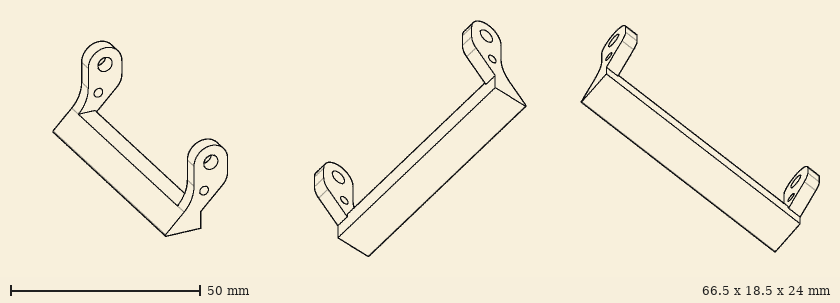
import cadquery as cq
import math

length = 66.5
depth = 18.5
height = 24.0

arm_thickness = 4.0
lobe_radius = 5.0
heel_radius = 5.0
throat_radius = 10.0
pivot_hole_diameter = 4.1
pin_hole_diameter = 2.5
pin_offset_y = -2.0
pin_offset_z = -8.0

bar_back_y = -3.0
arm_root_height = 5.0
nose_radius = 0.3

pivot_z = height - lobe_radius
front_y = lobe_radius - depth

half_turn = math.radians(22.5)
diagonal = math.sqrt(0.5)
back_corner_z = arm_root_height + lobe_radius - bar_back_y
sharp_front_y = front_y - nose_radius * (1 / math.tan(half_turn) - 1)
front_corner_z = -lobe_radius - sharp_front_y
heel_tangent = heel_radius * math.tan(half_turn)
throat_tangent = throat_radius * math.tan(half_turn)

nose_center_y = front_y + nose_radius
nose_top = (nose_center_y - nose_radius * diagonal, nose_radius * (1 + diagonal))
nose_tip = (front_y, nose_radius)
nose_bottom = (nose_center_y, 0)


def bend_points(corner_y, corner_z, tangent, radius):
    """Return top, middle and bottom of an arc easing a vertical face into a slope."""
    top = (corner_y, corner_z + tangent)
    middle = (
        corner_y - radius * (1 - math.cos(half_turn)),
        corner_z + tangent - radius * math.sin(half_turn),
    )
    bottom = (corner_y - tangent * diagonal, corner_z - tangent * diagonal)
    return top, middle, bottom


heel_top, heel_middle, heel_bottom = bend_points(
    lobe_radius, back_corner_z, heel_tangent, heel_radius
)
throat_top, throat_middle, throat_bottom = bend_points(
    -lobe_radius, front_corner_z, throat_tangent, throat_radius
)

bar_front_y, bar_height = throat_bottom


def make_arm(start_x):
    arm = (
        cq.Workplane("YZ", origin=(start_x, 0, 0))
        .moveTo(bar_back_y, 0)
        .lineTo(bar_back_y, arm_root_height)
        .lineTo(*heel_bottom)
        .threePointArc(heel_middle, heel_top)
        .lineTo(lobe_radius, pivot_z)
        .threePointArc((0, height), (-lobe_radius, pivot_z))
        .lineTo(*throat_top)
        .threePointArc(throat_middle, throat_bottom)
        .lineTo(*nose_top)
        .threePointArc(nose_tip, nose_bottom)
        .close()
        .extrude(arm_thickness)
    )
    holes = (
        cq.Workplane("YZ", origin=(start_x, 0, 0))
        .center(0, pivot_z)
        .circle(pivot_hole_diameter / 2)
        .extrude(arm_thickness)
        .union(
            cq.Workplane("YZ", origin=(start_x, 0, 0))
            .center(pin_offset_y, pivot_z + pin_offset_z)
            .circle(pin_hole_diameter / 2)
            .extrude(arm_thickness)
        )
    )
    return arm.cut(holes)


def make_bar():
    return (
        cq.Workplane("YZ", origin=(-length / 2, 0, 0))
        .moveTo(bar_back_y, 0)
        .lineTo(bar_back_y, bar_height)
        .lineTo(bar_front_y, bar_height)
        .lineTo(*nose_top)
        .threePointArc(nose_tip, nose_bottom)
        .close()
        .extrude(length)
    )


result = make_bar()
for arm_start_x in (-length / 2, length / 2 - arm_thickness):
    result = result.union(make_arm(arm_start_x))